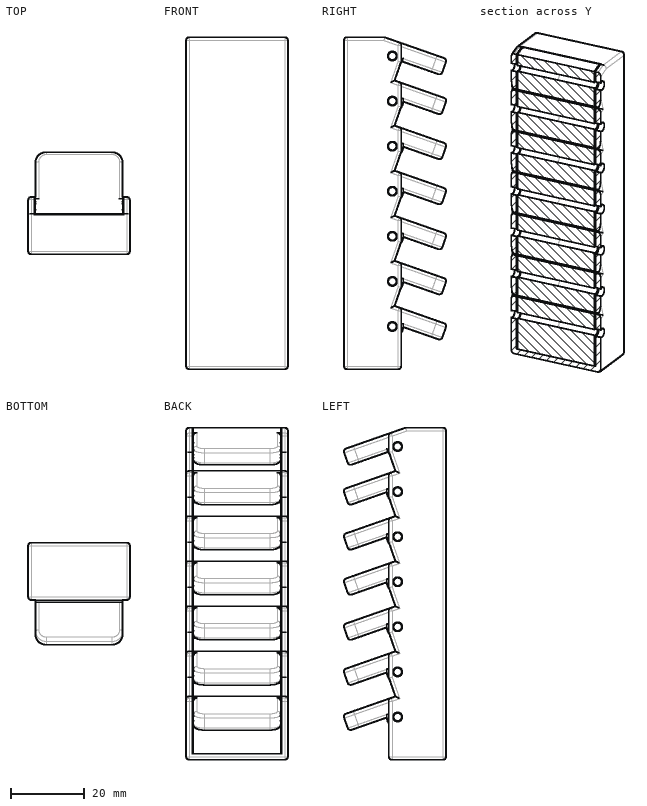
import cadquery as cq
import math

HEIGHT = 90.0
WIDTH = 27.6
TIP_REACH = 27.7
EDGE_RADIUS = 0.9

KEY_COUNT = 7
PITCH_STACK = 73.2
PITCH = PITCH_STACK / (KEY_COUNT - 1)
SLOPE = math.radians(19.3)
RISE = math.tan(SLOPE)

HOUSING_DEPTH = 15.6
RISER_OFFSET = 2.8
CREST_Y = 11.0
FIRST_STEP_DROP = 1.4
WALL = 1.7
WALL_HOLE_RADIUS = 1.3

GAP = 0.3
KEY_THICKNESS = 4.7
KEY_CORNER_RADIUS = 3.0
COMB_FRONT_Y = 15.0
BARREL_RADIUS = 3.0
PIVOT_RADIUS = 1.1
PIVOT_Y = 13.1
FIRST_PIVOT_Z = 84.8

FIRST_FRONT_Z = HEIGHT - (HOUSING_DEPTH - CREST_Y) * RISE
POCKET_WIDTH = WIDTH - 2 * WALL
COMB_WIDTH = POCKET_WIDTH - 2 * GAP
POCKET_BACK_Y = CREST_Y - GAP


def pivot_z(index):
    return FIRST_PIVOT_Z - index * PITCH


def slope_z(index, y):
    """Height of a step's sloping top at a given Y."""
    drop = 0 if index == 0 else index * PITCH - FIRST_STEP_DROP
    return FIRST_FRONT_Z - drop + (HOUSING_DEPTH - y) * RISE


def riser_y(index, z):
    """Y at height z of the riser under a step: square to the slopes."""
    return PIVOT_Y + RISER_OFFSET / math.cos(SLOPE) + (z - pivot_z(index)) * RISE


def riser_top_z(index, front_y):
    """Height where the riser under a step meets the upright face at front_y."""
    return pivot_z(index) + (front_y - riser_y(index, pivot_z(index))) / RISE


def notch_point(index):
    """Inner corner between the riser under a step and the next sloping top."""
    y_on_riser_at_zero = riser_y(index, 0)
    z = (slope_z(index + 1, 0) - RISE * y_on_riser_at_zero) / (1 + RISE**2)
    return (riser_y(index, z), z)


def stepped_front(front_y):
    """Saw-tooth outline (Y, Z) of the open face, from the first step down to the last one."""
    points = []
    for index in range(KEY_COUNT):
        points.append((front_y, slope_z(index, front_y)))
        if index < KEY_COUNT - 1:
            points.append((front_y, riser_top_z(index, front_y)))
            points.append(notch_point(index))
    return points


def extrude_across(outline, width):
    """Solid of the given width, centred on X = 0, from an outline in Y and Z."""
    return cq.Workplane("YZ").polyline(outline).close().extrude(width / 2, both=True)


def block_beyond(start_y, bottom_z, width):
    """Tall block that starts at start_y and runs toward +Y past every part."""
    return (
        cq.Workplane("XY", origin=(0, start_y, bottom_z))
        .box(width, TIP_REACH, 2 * HEIGHT, centered=(True, False, False))
    )


def pivot_rods(radius, width):
    """Cylinders along X on all the pivot axes."""
    centres = [(PIVOT_Y, pivot_z(index)) for index in range(KEY_COUNT)]
    return cq.Workplane("YZ").pushPoints(centres).circle(radius).extrude(width / 2, both=True)


def make_housing():
    top_and_back = [(0, 0), (0, HEIGHT), (CREST_Y, HEIGHT)]
    outline = top_and_back + stepped_front(HOUSING_DEPTH) + [(HOUSING_DEPTH, 0)]
    housing = extrude_across(outline, WIDTH)

    corners = [(0, 0), (0, HEIGHT), (HOUSING_DEPTH, 0)]
    corners += [(HOUSING_DEPTH, slope_z(index, HOUSING_DEPTH)) for index in range(KEY_COUNT)]
    rounded = housing.faces("<X or >X").edges()
    for y, z in corners:
        rounded = rounded.add(housing.edges(cq.NearestToPointSelector((0, y, z))))
    housing = housing.newObject(rounded.vals()).fillet(EDGE_RADIUS)

    pocket = block_beyond(POCKET_BACK_Y, WALL, POCKET_WIDTH)
    return housing.cut(pocket).cut(pivot_rods(WALL_HOLE_RADIUS, WIDTH))


def make_key(index):
    """Tilted finger with a rounded tip, its top flush with the sloping step."""
    tip_corner_y = TIP_REACH + EDGE_RADIUS * (math.cos(SLOPE) + math.sin(SLOPE) - 1)
    length = (tip_corner_y - CREST_Y) / math.cos(SLOPE)
    upward = cq.Vector(0, math.sin(SLOPE), math.cos(SLOPE))
    top_plane = cq.Plane(
        origin=(0, tip_corner_y, slope_z(index, tip_corner_y)),
        xDir=(1, 0, 0),
        normal=upward,
    )
    key = cq.Workplane(top_plane).center(0, -length / 2).rect(COMB_WIDTH, length).extrude(-KEY_THICKNESS)
    key = key.edges(cq.ParallelDirSelector(upward)).edges(">Y").fillet(KEY_CORNER_RADIUS)
    key = key.faces(cq.ParallelDirSelector(upward)).edges().fillet(EDGE_RADIUS)
    return key.intersect(block_beyond(COMB_FRONT_Y, 0, WIDTH))


def make_comb():
    back = [(CREST_Y, WALL), (CREST_Y, slope_z(0, CREST_Y))]
    outline = back + stepped_front(COMB_FRONT_Y) + [(COMB_FRONT_Y, WALL)]
    barrels = pivot_rods(BARREL_RADIUS, COMB_WIDTH).intersect(block_beyond(CREST_Y, 0, WIDTH))
    comb = extrude_across(outline, COMB_WIDTH).union(barrels)
    for index in range(KEY_COUNT):
        comb = comb.union(make_key(index))
    return comb.cut(pivot_rods(PIVOT_RADIUS, WIDTH))


housing = make_housing()
comb = make_comb()
result = cq.Compound.makeCompound([housing.solids().val(), comb.solids().val()])